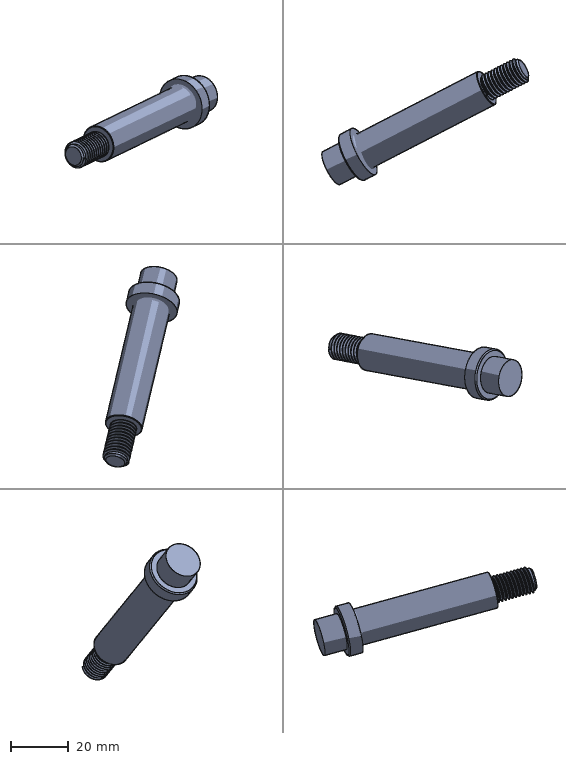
import cadquery as cq


total_length = 78.0
head_length = 8.0
head_radius = 6.5
core_radius = 4.0
tip_chamfer = 0.6

thread_pitch = 1.25
thread_radius = 4.7
root_width = 1.0
crest_width = 0.15
root_overlap = 0.1
thread_end_gap = 1.0
thread_turns = 12
thread_end_angle = 5.0

sleeve_length = 55.0
sleeve_radius = head_radius
sleeve_end_chamfer = 0.2
flange_diameter = 18.0
flange_radius = flange_diameter / 2
flange_length = 5.0
flange_chamfer = 0.5
flange_fillet = 1.0

shank_length = total_length - head_length


def along_y(body):
    """Turn a body built along +Z so that it lies along +Y."""
    return body.rotate((0, 0, 0), (1, 0, 0), -90)


def make_thread():
    """Right-handed helical ridge, trimmed flat where it meets the end of the sleeve."""
    thread_start = -shank_length + thread_end_gap
    slope = (root_width - crest_width) / 2 / (thread_radius - core_radius)
    half_base = root_width / 2 + slope * root_overlap
    half_crest = crest_width / 2
    base_radius = core_radius - root_overlap
    helix = cq.Wire.makeHelix(thread_pitch, thread_turns * thread_pitch, core_radius)
    ridge = (
        cq.Workplane("XZ")
        .polyline([
            (base_radius, -half_base),
            (thread_radius, -half_crest),
            (thread_radius, half_crest),
            (base_radius, half_base),
        ])
        .close()
        .sweep(cq.Workplane(helix), isFrenet=True)
        .translate((0, 0, thread_start))
        .rotate((0, 0, 0), (0, 0, 1), thread_end_angle)
    )
    inside_sleeve = (
        cq.Workplane("XY")
        .workplane(offset=-sleeve_length)
        .circle(flange_radius)
        .extrude(sleeve_length)
    )
    return ridge.cut(inside_sleeve)


def make_screw():
    """Cylindrical head, plain core with a chamfered tip, and the thread beyond the sleeve."""
    head = cq.Workplane("XY").circle(head_radius).extrude(head_length)
    core = (
        cq.Workplane("XY")
        .circle(core_radius)
        .extrude(-shank_length)
        .faces("<Z")
        .chamfer(tip_chamfer)
    )
    return along_y(head.union(core).union(make_thread()))


def make_sleeve():
    """Tube around the screw core with a flange under the screw head."""
    tube = (
        cq.Workplane("XY")
        .circle(sleeve_radius)
        .extrude(-sleeve_length)
        .faces("<Z")
        .chamfer(sleeve_end_chamfer)
    )
    flange = (
        cq.Workplane("XY")
        .circle(flange_radius)
        .extrude(-flange_length)
        .faces(">Z")
        .chamfer(flange_chamfer)
    )
    flange_corner = cq.selectors.BoxSelector(
        (-flange_radius, -flange_radius, -flange_length - flange_chamfer),
        (flange_radius, flange_radius, -flange_length + flange_chamfer),
    )
    body = tube.union(flange)
    body = body.edges(flange_corner).edges(cq.selectors.RadiusNthSelector(0)).fillet(flange_fillet)
    bore = cq.Workplane("XY").circle(core_radius).extrude(-sleeve_length)
    return along_y(body.cut(bore))


screw = make_screw()
sleeve = make_sleeve()

result = cq.Compound.makeCompound([screw.solids().val(), sleeve.solids().val()])